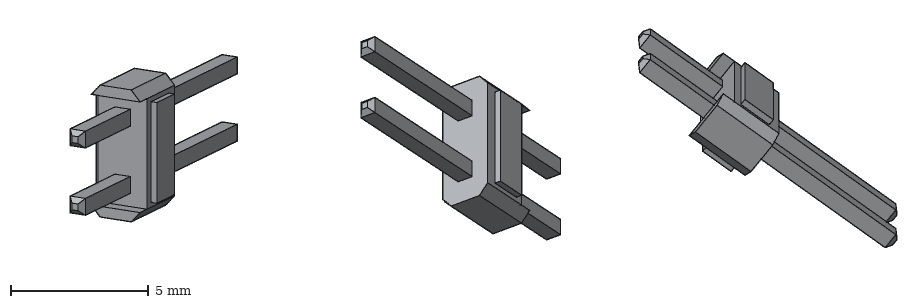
import cadquery as cq

pin_length = 11.64
pin_width = 0.64
pin_pitch = 2.55
tip_length = 0.2
tip_width = 0.26

body_width = 2.05
body_height = 5.0
body_back = -0.27
block_depth = 2.04
cap_depth = 2.55
cap_height = 0.41
cap_outer_width = 1.3
block_height = body_height - 2 * cap_height

pad_span = 2.54
pad_depth = 1.3
pad_height = 3.82
pad_back_offset = 0.44


def make_block():
    """Central block, set back from the front edges of the caps."""
    return cq.Workplane("XY").box(body_width, block_depth, block_height).translate(
        (0, body_back - block_depth / 2, 0)
    )


def make_cap(side):
    """End cap with a trapezoidal section; side is +1 for top, -1 for bottom."""
    inner_z = side * block_height / 2
    outer_z = side * body_height / 2
    return (
        cq.Workplane("XZ", origin=(0, body_back, 0))
        .polyline([
            (-body_width / 2, inner_z),
            (body_width / 2, inner_z),
            (cap_outer_width / 2, outer_z),
            (-cap_outer_width / 2, outer_z),
        ])
        .close()
        .extrude(cap_depth)
    )


def make_pads():
    """One bar through the block that stands out as a pad on each side."""
    pad_center_y = body_back - pad_back_offset - pad_depth / 2
    return cq.Workplane("XY").box(pad_span, pad_depth, pad_height).translate((0, pad_center_y, 0))


def make_pin(z):
    """Square pin at height z with a truncated pyramid at both ends."""
    shank_length = pin_length - 2 * tip_length
    pin = cq.Workplane("XY").box(pin_width, shank_length, pin_width)
    for face in ("<Y", ">Y"):
        tip = (
            pin.faces(face).workplane(centerOption="CenterOfBoundBox")
            .rect(pin_width, pin_width)
            .workplane(offset=tip_length)
            .rect(tip_width, tip_width)
            .loft(combine=False)
        )
        pin = pin.union(tip)
    return pin.translate((0, 0, z))


result = make_block().union(make_pads())
for side in (1, -1):
    result = result.union(make_cap(side))
    result = result.union(make_pin(side * pin_pitch / 2))